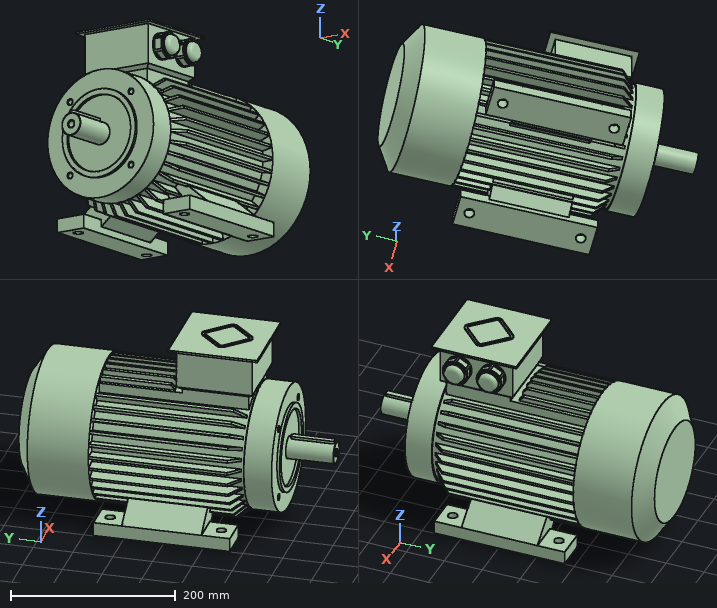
import cadquery as cq
import math


SHAFT_DIAMETER = 28.0
SHAFT_LENGTH = 60.0
SHAFT_END_CHAMFER = 0.5
SHAFT_BORE_DIAMETER = 8.5
SHAFT_BORE_DEPTH = 15.3
KEY_WIDTH = 8.0
KEY_LENGTH = 55.8
KEY_TOP = 16.8
KEY_HEIGHT = 7.5
KEY_END_GAP = 1.0

DRILL_POINT_ANGLE = 118.0
HOLE_COUNTERSINK = 0.8

FLANGE_DIAMETER = 160.0
FLANGE_LENGTH = 35.0
SPIGOT_DIAMETER = 110.0
SPIGOT_LENGTH = 3.5
RECESS_DIAMETER = 96.0
BOLT_CIRCLE_DIAMETER = 130.0
FLANGE_HOLE_DIAMETER = 6.5
FLANGE_HOLE_DEPTH = 15.3

CORE_DIAMETER = 155.0
BODY_END = 227.0
COVER_DIAMETER = 185.0
COVER_REAR_DIAMETER = 128.5
COVER_CONE_LENGTH = 18.5
OVERALL_LENGTH = 382.0
COVER_END = OVERALL_LENGTH - SHAFT_LENGTH

FIN_DIAMETER = 183.5
FIN_THICKNESS = 3.5
FIN_ROOT_OVERLAP = 7.5
FIN_FRONT = 39.0
FIN_STEP_ANGLE = 10
FIRST_FIN_ANGLE = -230
LAST_FIN_ANGLE = 50

TOP_FIN_COUNT = 7
TOP_FIN_SPACING = 12.0
TOP_FIN_THICKNESS = 3.5
TOP_FIN_FRONT = 132.5
TOP_FIN_CHAMFER = 5.5

BOX_CENTER_Y = 80.5
BOX_WIDTH = 95.5
BOX_BOTTOM = 83.0
BOX_CHAMFER_WIDTH = 5.7
BOX_CHAMFER_HEIGHT = 4.5
PEDESTAL_WIDTH = BOX_WIDTH - 2 * BOX_CHAMFER_WIDTH
LID_WIDTH = 112.3
LID_THICKNESS = 2.5
LID_TOP = 140.0
FRAME_HEIGHT = 1.0
FRAME_SIDE = 49.0
FRAME_CORNER_RADIUS = 7.0
FRAME_BAND = 3.5
FRAME_CENTER_Y = 77.0

GLAND_HEIGHT = 113.0
GLAND_SPACING = 44.7
GLAND_DIAMETER = 33.0
HEX_SIDES = 6
HEX_ACROSS_FLATS = 29.8
GLAND_COLLAR_LENGTH = 2.3
HEX_LENGTH = 10.5
GLAND_RIM_LENGTH = 2.3
GLAND_RIM_CHAMFER = 1.0
CAP_DIAMETER = 26.0
CAP_LENGTH = 7.3
CAP_FILLET = 5.5

FEET_SPAN = 200.0
AXIS_HEIGHT = 100.0
PAD_WIDTH = 40.0
PAD_THICKNESS = 17.5
PAD_LENGTH = 172.0
FOOT_CENTER_Y = 133.0
FOOT_HOLE_DIAMETER = 12.0
FOOT_HOLE_SPAN_X = 160.0
FOOT_HOLE_SPAN_Y = 140.0
WEB_LENGTH = 100.0
WEB_SLOPE = 0.8
WEB_OUTER_RUN = 46.0
WEB_INNER_RUN = 23.0
WEB_FOOT_RISE = 8.8


def y_cylinder(diameter, start, end):
    """Cylinder on the motor axis between two Y positions."""
    return cq.Workplane("XZ", origin=(0, start, 0)).circle(diameter / 2).extrude(start - end)


def centered_box(size_x, size_y, size_z, center_y, bottom):
    """Box centred on X, standing on a given height."""
    base = cq.Workplane("XY", origin=(0, center_y, bottom))
    return base.box(size_x, size_y, size_z, centered=(True, True, False))


def drilled_hole(diameter, depth, x, y, z):
    """Cutter for a countersunk blind hole along +Y with a conical drill point."""
    radius = diameter / 2
    point_length = radius / math.tan(math.radians(DRILL_POINT_ANGLE / 2))
    profile = [
        (0, 0),
        (radius + HOLE_COUNTERSINK, 0),
        (radius, HOLE_COUNTERSINK),
        (radius, depth),
        (0, depth + point_length),
    ]
    hole = cq.Workplane("XY").polyline(profile).close().revolve(360, (0, 0), (0, 1))
    return hole.translate((x, y, z))


def fin_envelope(front, chamfer):
    """Solid of revolution that bounds a group of fins, bevelled at the front."""
    radius = FIN_DIAMETER / 2
    profile = [
        (0, front),
        (radius - chamfer, front),
        (radius, front + chamfer),
        (radius, BODY_END),
        (0, BODY_END),
    ]
    return cq.Workplane("XY").polyline(profile).close().revolve(360, (0, 0), (0, 1))


def make_body():
    core = y_cylinder(CORE_DIAMETER, FLANGE_LENGTH, BODY_END)
    flange = y_cylinder(FLANGE_DIAMETER, 0, FLANGE_LENGTH)
    spigot = y_cylinder(SPIGOT_DIAMETER, -SPIGOT_LENGTH, 0)
    recess = y_cylinder(RECESS_DIAMETER, -SPIGOT_LENGTH, 0)
    body = core.union(flange).union(spigot.cut(recess))
    hole_offset = BOLT_CIRCLE_DIAMETER / 2 * math.cos(math.radians(45))
    for x in (-hole_offset, hole_offset):
        for z in (-hole_offset, hole_offset):
            body = body.cut(drilled_hole(FLANGE_HOLE_DIAMETER, FLANGE_HOLE_DEPTH, x, 0, z))
    return body


def make_fan_cover():
    profile = [
        (0, BODY_END),
        (COVER_DIAMETER / 2, BODY_END),
        (COVER_DIAMETER / 2, COVER_END - COVER_CONE_LENGTH),
        (COVER_REAR_DIAMETER / 2, COVER_END),
        (0, COVER_END),
    ]
    return cq.Workplane("XY").polyline(profile).close().revolve(360, (0, 0), (0, 1))


def make_radial_fins():
    """Fins on the sides and underside, sloping down to the core at the front."""
    inner = CORE_DIAMETER / 2 - FIN_ROOT_OVERLAP
    length = BODY_END - FIN_FRONT
    slab = cq.Workplane("XY", origin=(inner, FIN_FRONT, 0)).box(
        FIN_DIAMETER / 2, length, FIN_THICKNESS, centered=(False, False, True)
    )
    chamfer = (FIN_DIAMETER - CORE_DIAMETER) / 2
    slab = slab.intersect(fin_envelope(FIN_FRONT, chamfer))
    angles = range(FIRST_FIN_ANGLE, LAST_FIN_ANGLE + FIN_STEP_ANGLE, FIN_STEP_ANGLE)
    return [slab.rotate((0, 0, 0), (0, 1, 0), -angle) for angle in angles]


def make_top_fins():
    """Upright parallel fins behind the terminal box."""
    length = BODY_END - TOP_FIN_FRONT
    root = CORE_DIAMETER / 2 - FIN_ROOT_OVERLAP
    envelope = fin_envelope(TOP_FIN_FRONT, TOP_FIN_CHAMFER)
    fins = []
    for index in range(TOP_FIN_COUNT):
        x = (index - (TOP_FIN_COUNT - 1) / 2) * TOP_FIN_SPACING
        slab = centered_box(TOP_FIN_THICKNESS, length, FIN_DIAMETER / 2, TOP_FIN_FRONT + length / 2, root)
        fins.append(slab.translate((x, 0, 0)).intersect(envelope))
    return fins


def make_terminal_box():
    pedestal_front = BOX_CENTER_Y - PEDESTAL_WIDTH / 2
    plateau_length = BODY_END - pedestal_front
    plateau_center = pedestal_front + plateau_length / 2
    plateau = centered_box(PEDESTAL_WIDTH, plateau_length, CORE_DIAMETER / 2, plateau_center, 0)
    pedestal = centered_box(PEDESTAL_WIDTH, PEDESTAL_WIDTH, BOX_BOTTOM, BOX_CENTER_Y, 0)
    lid_bottom = LID_TOP - LID_THICKNESS
    box = centered_box(BOX_WIDTH, BOX_WIDTH, lid_bottom - BOX_BOTTOM, BOX_CENTER_Y, BOX_BOTTOM)
    box = box.faces("<Z").chamfer(BOX_CHAMFER_HEIGHT, BOX_CHAMFER_WIDTH)
    lid = centered_box(LID_WIDTH, LID_WIDTH, LID_THICKNESS, BOX_CENTER_Y, lid_bottom)
    return plateau.union(pedestal).union(box).union(lid)


def make_lid_frame():
    """Raised diamond frame with rounded corners on the lid."""
    inner_side = FRAME_SIDE - 2 * FRAME_BAND
    frame = centered_box(FRAME_SIDE, FRAME_SIDE, FRAME_HEIGHT, 0, LID_TOP)
    frame = frame.edges("|Z").fillet(FRAME_CORNER_RADIUS)
    opening = centered_box(inner_side, inner_side, FRAME_HEIGHT, 0, LID_TOP)
    opening = opening.edges("|Z").fillet(FRAME_CORNER_RADIUS - FRAME_BAND)
    frame = frame.cut(opening).rotate((0, 0, 0), (0, 0, 1), 45)
    return frame.translate((0, FRAME_CENTER_Y, 0))


def make_gland(y):
    """Cable gland on the +X wall of the terminal box."""
    wall = cq.Workplane("YZ", origin=(BOX_WIDTH / 2, y, GLAND_HEIGHT))
    collar = wall.circle(GLAND_DIAMETER / 2).extrude(GLAND_COLLAR_LENGTH)
    nut_length = HEX_LENGTH + GLAND_RIM_LENGTH
    nut_base = collar.faces(">X").workplane()
    nut = nut_base.circle(GLAND_DIAMETER / 2).extrude(nut_length, combine=False)
    nut = nut.faces(">X").chamfer(GLAND_RIM_CHAMFER)
    hexagon = nut_base.polygon(HEX_SIDES, HEX_ACROSS_FLATS, circumscribed=True)
    hexagon = hexagon.extrude(HEX_LENGTH, combine=False)
    rim_clearance = nut_base.workplane(offset=HEX_LENGTH).circle(GLAND_DIAMETER / 2)
    rim_clearance = rim_clearance.extrude(GLAND_RIM_LENGTH, combine=False)
    nut = nut.intersect(hexagon.union(rim_clearance))
    cap = wall.workplane(offset=GLAND_COLLAR_LENGTH + nut_length)
    cap = cap.circle(CAP_DIAMETER / 2).extrude(CAP_LENGTH).faces(">X").edges().fillet(CAP_FILLET)
    return collar.union(nut).union(cap)


def make_foot():
    """Foot on the +X side: a drilled pad and a sloping web to the body."""
    outer_x = FEET_SPAN / 2
    inner_x = outer_x - PAD_WIDTH
    pad_top = PAD_THICKNESS - AXIS_HEIGHT
    pad_center_x = outer_x - PAD_WIDTH / 2
    pad = centered_box(PAD_WIDTH, PAD_LENGTH, PAD_THICKNESS, FOOT_CENTER_Y, -AXIS_HEIGHT)
    pad = pad.translate((pad_center_x, 0, 0))
    web_low = WEB_FOOT_RISE - AXIS_HEIGHT
    web_profile = [
        (outer_x, pad_top),
        (outer_x - WEB_OUTER_RUN, pad_top + WEB_OUTER_RUN * WEB_SLOPE),
        (inner_x - WEB_INNER_RUN, web_low + WEB_INNER_RUN * WEB_SLOPE),
        (inner_x, web_low),
        (outer_x, web_low),
    ]
    web = cq.Workplane("XZ", origin=(0, FOOT_CENTER_Y, 0)).polyline(web_profile).close()
    web = web.extrude(WEB_LENGTH / 2, both=True)
    holes = cq.Workplane("XY", origin=(FOOT_HOLE_SPAN_X / 2, FOOT_CENTER_Y, -AXIS_HEIGHT))
    holes = holes.rarray(4, FOOT_HOLE_SPAN_Y, 1, 2).circle(FOOT_HOLE_DIAMETER / 2).extrude(PAD_THICKNESS)
    return pad.union(web).cut(holes)


def make_shaft():
    shaft = y_cylinder(SHAFT_DIAMETER, -SHAFT_LENGTH, 0).faces("<Y").chamfer(SHAFT_END_CHAMFER)
    key_center_y = KEY_END_GAP - SHAFT_LENGTH + KEY_LENGTH / 2
    key = cq.Workplane("XY", origin=(0, key_center_y, KEY_TOP - KEY_HEIGHT))
    key = key.slot2D(KEY_LENGTH, KEY_WIDTH, 90).extrude(KEY_HEIGHT)
    bore = drilled_hole(SHAFT_BORE_DIAMETER, SHAFT_BORE_DEPTH, 0, -SHAFT_LENGTH, 0)
    return shaft.union(key).cut(bore)


result = make_body().union(make_fan_cover()).union(make_terminal_box()).union(make_lid_frame())
for fin in make_radial_fins() + make_top_fins():
    result = result.union(fin)
for gland_offset in (-GLAND_SPACING / 2, GLAND_SPACING / 2):
    result = result.union(make_gland(BOX_CENTER_Y + gland_offset))
foot = make_foot()
result = result.union(foot).union(foot.mirror("YZ")).union(make_shaft())